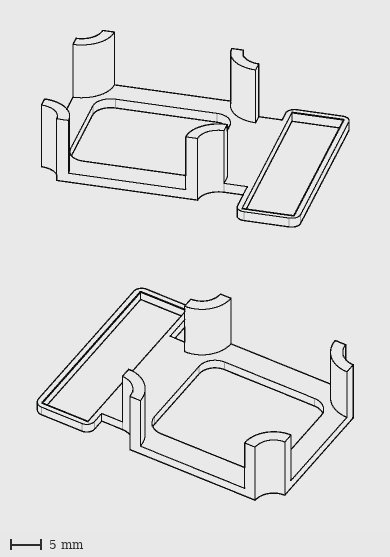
import cadquery as cq

plate_length = 30.65
plate_width = 28.6
plate_thickness = 1.7

opening_length = 23.0
opening_width = 20.0
opening_radius = 3.0

post_inner_radius = 3.5
post_wall = 2.0
post_outer_radius = post_inner_radius + post_wall
total_height = 11.7

total_length = 45.15
loop_length = 10.6
loop_width = 33.0
loop_wall = 0.95
loop_radius = 1.5
loop_offset_y = -2.0
loop_start_x = total_length - loop_length

ledge_width = 0.1
ledge_height = 1.6

slot_length = loop_length - 2 * loop_wall
slot_width = loop_width - 2 * loop_wall
slot_start_x = loop_start_x + loop_wall

neck_width = plate_width - 2 * post_inner_radius

plate_corners = [(x, y) for x in (0, plate_length) for y in (-plate_width / 2, plate_width / 2)]


def block(start_x, center_y, length, width, height):
    """Box standing on Z = 0 that starts at start_x and is centred on center_y."""
    return cq.Workplane("XY").box(length, width, height, centered=(False, True, False)).translate(
        (start_x, center_y, 0)
    )


def corner_cylinders(radius):
    """Full-height cylinders on the four plate corners."""
    return cq.Workplane("XY").pushPoints(plate_corners).circle(radius).extrude(total_height)


def make_plate():
    """Flat plate with its rounded opening."""
    plate = block(0, 0, plate_length, plate_width, plate_thickness)
    opening_start_x = (plate_length - opening_length) / 2
    opening = block(opening_start_x, 0, opening_length, opening_width, plate_thickness)
    return plate.cut(opening.edges("|Z").fillet(opening_radius))


def make_posts():
    """Corner cylinders trimmed to the plate outline."""
    envelope = block(0, 0, plate_length, plate_width, total_height)
    return corner_cylinders(post_outer_radius).intersect(envelope)


def make_neck():
    """Bridge from the plate to the near wall of the loop."""
    return block(plate_length, 0, slot_start_x - plate_length, neck_width, plate_thickness)


def make_loop():
    """Rectangular loop with rounded outer corners and a ledge inside its slot."""
    loop = block(loop_start_x, loop_offset_y, loop_length, loop_width, plate_thickness)
    loop = loop.edges("|Z").fillet(loop_radius)
    lower_slot = block(
        slot_start_x,
        loop_offset_y,
        slot_length - ledge_width,
        slot_width - 2 * ledge_width,
        plate_thickness,
    )
    upper_slot = block(slot_start_x, loop_offset_y, slot_length, slot_width, plate_thickness)
    return loop.cut(lower_slot).cut(upper_slot.translate((0, 0, ledge_height)))


body = make_plate().union(make_posts()).cut(corner_cylinders(post_inner_radius))
result = body.union(make_neck()).union(make_loop())